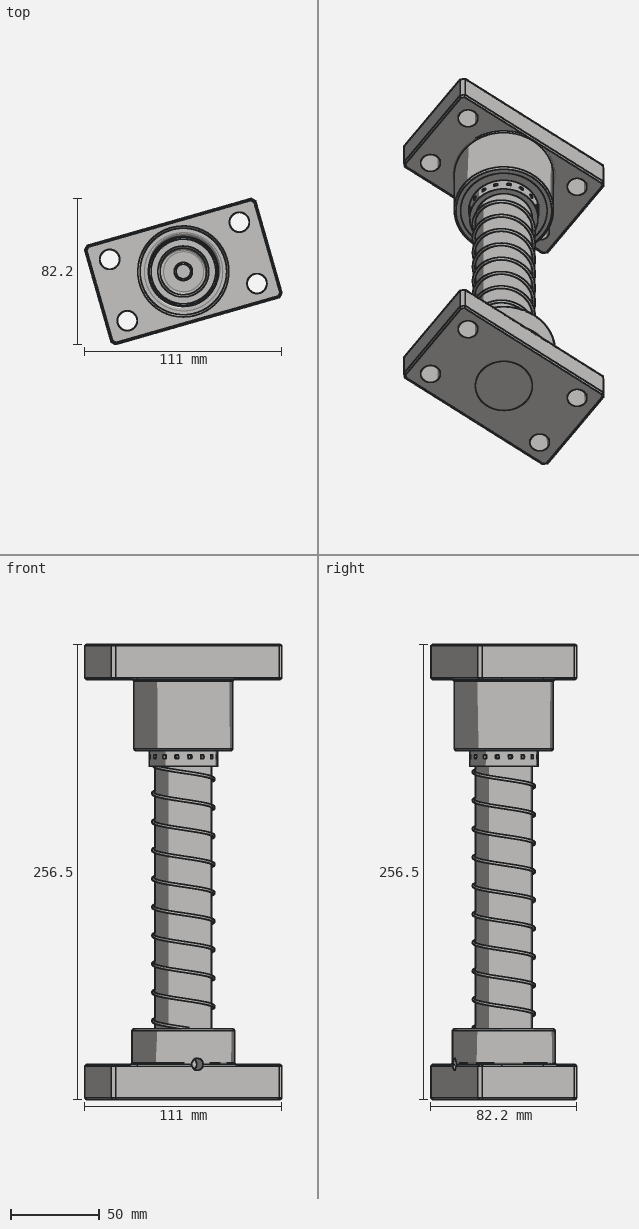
import cadquery as cq
import math

total_height = 256.5
plate_turn = 16.0

plate_length = 100.0
plate_width = 58.0
plate_thickness = 20.0
plate_corner_chamfer = 2.0
plate_edge_chamfer = 1.0
bolt_hole_diameter = 11.0
bolt_spacing_long = 76.0
bolt_spacing_short = 36.0
boss_chamfer = 1.0
boss_root_fillet = 0.8
base_boss_radius = plate_width / 2
base_top = 2 * plate_thickness
side_hole_diameter = 6.7
head_boss_radius = 28.0
head_bottom = 196.5

bush_radius = 24.4
bush_bore_radius = 19.8
bush_mouth_fillet = 2.3
bore_chamfer = 1.3
bush_top = total_height - bore_chamfer

pillar_radius = 32.0 / 2
cage_radius = 19.2
cage_bottom = 187.8
ball_hole_count = 16
ball_hole_diameter = 2.3
ball_hole_height = 5.5

cap_radius = 18.2
cap_top = 249.8
dish_rim_radius = 14.4
dish_mid_radius = 13.0
dish_floor_radius = 11.3
dish_depth = 3.8
dish_fillet_height = 1.8
cap_floor_thickness = 2.5
dish_floor = cap_top - dish_depth
cap_bottom = dish_floor - cap_floor_thickness
pin_radius = 5.1
pin_height = 2.3
pin_chamfer = 1.0
pin_depth = 10.3

wire_radius = 0.8
spring_clearance = 0.13
spring_radius = pillar_radius + spring_clearance + wire_radius
spring_start_angle = 280.0
spring_turns = 9.23
spring_height = cage_bottom - base_top
spring_pitch = spring_height / spring_turns


def cylinder(radius, bottom, top):
    return cq.Workplane("XY").workplane(offset=bottom).circle(radius).extrude(top - bottom)


def turned(body):
    return body.rotate((0, 0, 0), (0, 0, 1), plate_turn)


def flange_plate():
    """Chamfered rectangular plate on the XY plane with four bolt holes."""
    return (
        cq.Workplane("XY")
        .rect(plate_length, plate_width)
        .extrude(plate_thickness)
        .edges("|Z")
        .chamfer(plate_corner_chamfer)
        .faces("<Z or >Z")
        .edges()
        .chamfer(plate_edge_chamfer)
        .faces(">Z")
        .workplane()
        .rect(bolt_spacing_long, bolt_spacing_short, forConstruction=True)
        .vertices()
        .hole(bolt_hole_diameter)
    )


def root_fillet(boss_radius):
    """Concave fillet at the foot of a boss, ending where the plate's flat top face ends."""
    inner_radius = boss_radius - boss_root_fillet
    centre_radius = boss_radius + boss_root_fillet
    centre_height = plate_thickness + boss_root_fillet
    arc_offset = boss_root_fillet * math.sin(math.radians(45))
    ring = (
        cq.Workplane("XZ")
        .moveTo(inner_radius, plate_thickness)
        .lineTo(centre_radius, plate_thickness)
        .threePointArc(
            (centre_radius - arc_offset, centre_height - arc_offset),
            (boss_radius, centre_height),
        )
        .lineTo(inner_radius, centre_height)
        .close()
        .revolve(360, (0, 0, 0), (0, 1, 0))
    )
    flat_length = plate_length - 2 * plate_edge_chamfer
    flat_width = plate_width - 2 * plate_edge_chamfer
    flat_area = cq.Workplane("XY").rect(flat_length, flat_width).extrude(2 * plate_thickness)
    return ring.intersect(flat_area)


def flange_with_boss(boss_radius, boss_top):
    """Plate with a round boss standing on it, before turning about the axis."""
    boss = cylinder(boss_radius, plate_thickness, boss_top).faces(">Z").edges().chamfer(boss_chamfer)
    return flange_plate().union(boss).union(root_fillet(boss_radius))


def make_base():
    """Base flange: its boss holds the pillar, and a radial hole at the boss foot reaches the bore."""
    side_hole = (
        cq.Workplane("XZ")
        .center(0, plate_thickness)
        .circle(side_hole_diameter / 2)
        .extrude(plate_width)
    )
    bore = cylinder(pillar_radius, 0, base_top)
    return turned(flange_with_boss(base_boss_radius, base_top).cut(side_hole).cut(bore))


def make_head():
    """Head flange: plate on top and boss hanging down, bored for the guide bush."""
    boss_height = total_height - head_bottom
    bore_mouth = (
        cq.Workplane("XY")
        .circle(bush_radius + bore_chamfer)
        .workplane(offset=bore_chamfer)
        .circle(bush_radius)
        .loft()
    )
    bore = cylinder(bush_radius, 0, boss_height)
    head = flange_with_boss(head_boss_radius, boss_height).cut(bore).cut(bore_mouth)
    return turned(head.rotate((0, 0, 0), (1, 0, 0), 180).translate((0, 0, total_height)))


def make_bush():
    """Guide bush: a tube in the head with a rounded mouth."""
    bush = cylinder(bush_radius, head_bottom, bush_top).cut(
        cylinder(bush_bore_radius, head_bottom, bush_top)
    )
    mouth_edge = cq.selectors.RadiusNthSelector(0)
    return bush.faces(">Z").edges(mouth_edge).fillet(bush_mouth_fillet)


def make_cage():
    """Ball cage: a tube on the pillar with a row of radial ball holes near its lower end."""
    cage = cylinder(cage_radius, cage_bottom, cap_bottom).cut(cylinder(pillar_radius, cage_bottom, cap_bottom))
    hole_step = 360 / ball_hole_count
    for index in range(ball_hole_count):
        hole = (
            cq.Workplane("YZ")
            .center(0, cage_bottom + ball_hole_height)
            .circle(ball_hole_diameter / 2)
            .extrude(2 * cage_radius)
            .rotate((0, 0, 0), (0, 0, 1), (index + 0.5) * hole_step)
        )
        cage = cage.cut(hole)
    return cage


def pin_blank():
    return cylinder(pin_radius, dish_floor - pin_depth, dish_floor + pin_height)


def make_pillar():
    return cylinder(pillar_radius, 0, cap_bottom).cut(pin_blank())


def make_cap():
    """End cap: a disc with a dish whose wall ends in a concave round."""
    round_width = dish_mid_radius - dish_floor_radius
    mid_angle = math.radians(45)
    cap = (
        cq.Workplane("XZ")
        .moveTo(0, cap_bottom)
        .lineTo(cap_radius, cap_bottom)
        .lineTo(cap_radius, cap_top)
        .lineTo(dish_rim_radius, cap_top)
        .lineTo(dish_mid_radius, dish_floor + dish_fillet_height)
        .threePointArc(
            (
                dish_floor_radius + round_width * math.sin(mid_angle),
                dish_floor + dish_fillet_height * (1 - math.cos(mid_angle)),
            ),
            (dish_floor_radius, dish_floor),
        )
        .lineTo(0, dish_floor)
        .close()
        .revolve(360, (0, 0, 0), (0, 1, 0))
    )
    return cap.cut(pin_blank())


def make_pin():
    return pin_blank().faces(">Z").edges().chamfer(pin_chamfer)


def make_spring():
    helix = cq.Wire.makeHelix(spring_pitch, spring_height, spring_radius, lefthand=True)
    wire = (
        cq.Workplane("XZ", origin=(spring_radius, 0, 0))
        .circle(wire_radius)
        .sweep(cq.Workplane(helix), isFrenet=True)
    )
    coil = wire.rotate((0, 0, 0), (0, 0, 1), spring_start_angle).translate((0, 0, base_top))
    ground_length = cylinder(2 * spring_radius, base_top, cage_bottom)
    return coil.intersect(ground_length)


base = make_base()
head = make_head()
bush = make_bush()
cage = make_cage()
pillar = make_pillar()
cap = make_cap()
pin = make_pin()
spring = make_spring()

result = cq.Compound.makeCompound(
    [
        base.val(),
        head.val(),
        bush.val(),
        cage.val(),
        pillar.val(),
        cap.val(),
        pin.val(),
        spring.val(),
    ]
)